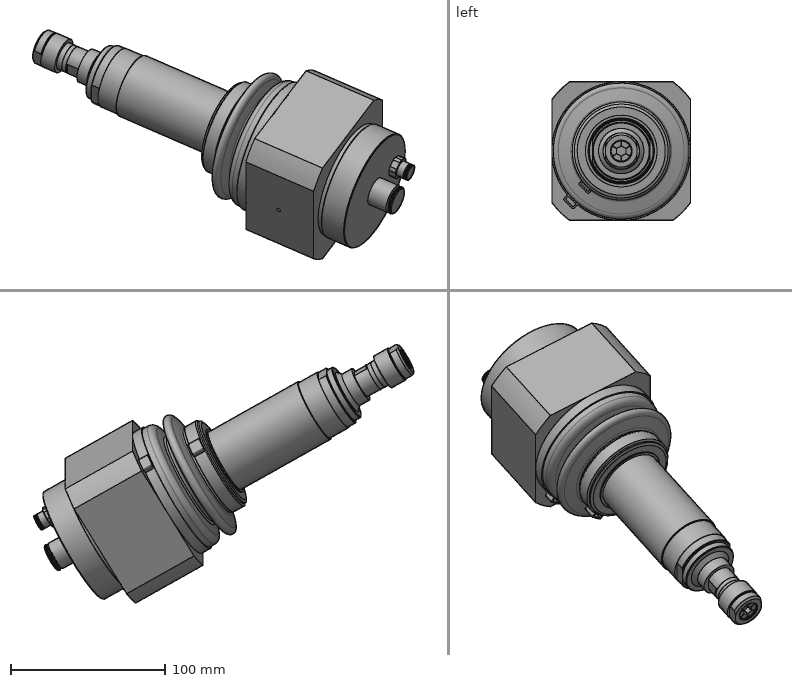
import cadquery as cq
import math

LENGTH = 267.3
CUT_MARGIN = 0.3

TIP_CHAMFER = 1.3
TIP_GROOVE_START = 6.1
TIP_GROOVE_R = 11.2
TIP_FLAT_END = 7.0
TIP_END = 17.5
TIP_R = 11.8
NUT_R = 23.8 / 2
TIP_FLAT_DISTANCE = 10.2
FACE_RECESS_D = 13.0
FACE_RECESS_CHAMFER = 0.5
FACE_RECESS_DEPTH = 1.0
HEX_BORE_FLATS = 6.0
HEX_BORE_DEPTH = 10.7
COLLET_SLIT = 0.3
COLLET_SLIT_DEPTH = 5.3
COLLET_SLITS = 6

NECK_R = 9.4
NECK_STEP_R = 18.5 / 2
NECK_BAND_START = 21.0
NECK_BAND_END = 24.0
NECK_FLAT_START = 24.9
NECK_END = 34.0
NECK_FLAT_DISTANCE = 8.3

COLLAR_R = 11.8
COLLAR_END = 41.5
CONE_END = 44.5
CONE_R = 14.7
CAP_R = 18.7
CAP_END = 48.7
RING_FLAT_R = 41.0 / 2
RING_R = 41.5 / 2
RING_FLAT_END = 54.8
RING_FLAT_DISTANCE = 18.7
RING_END = 68.7
NOSE_CHAMFER = 0.5

SLEEVE_R = 43.0 / 2
SLEEVE_CHAMFER = 0.3
SLEEVE_END = 137.1

BOOT_LIP_START = 136.3
BOOT_LIP_R = 23.3
CLAMP_FACE_INNER_R = 28.5
CLAMP_FACE_R = 30.5
CLAMP_FACE_START = 138.0
CLAMP_FACE_END = 139.0
CLAMP_R = 31.8
CLAMP_START = 139.8
CLAMP_END = 148.0

VALLEY_R = 31.0
VALLEY_END = 149.7
CREST_X = 155.3
CREST_R = 44.0
CREST_HALF_WIDTH = 3.0
CREST_FLANK_R = 41.0
ROOT_HALF_WIDTH = 4.8
ROOT_R = 32.5
REAR_VALLEY_X = 162.3
SHOULDER_ROOT_X = 163.3
SHOULDER_START = 164.5
SHOULDER_START_R = 39.5
SHOULDER_MID = 165.7
SHOULDER_MID_R = 42.8
SHOULDER_END = 168.7

BAND_START = 172.7
BODY_START = 179.5
BODY_END = 230.2
BODY_WIDTH = 90.0
BODY_CORNER_R = 56.1
BAND_R = BODY_WIDTH / 2
VENT_D = 2.5
VENT_X = 204.0
VENT_DEPTH = 5.3

EAR_ANGLE = -45.0
EAR_WIDTH = 9.0
FRONT_EAR_HEIGHT = 3.0
REAR_EAR_HEIGHT = 3.7
EAR_WALL = 1.0
EAR_FILLET = 0.8

COVER_STEP_R = 39.3
COVER_STEP_END = 233.0
COVER_R = 40.0
COVER_END = 250.2
COVER_CHAMFER = 0.5

PIPE_R = 19.0 / 2
PIPE_END = 263.8
PIPE_NECK_R = 6.5
PIPE_RIM_START = 265.0
RIM_CHAMFER = 0.8
RIM_SERRATIONS = 36
SERRATION_R = 0.4

CONNECTOR_Y = 25.0
CONNECTOR_HEX_FLATS = 13.5
CONNECTOR_HEX_TRIM_D = 14.5
CONNECTOR_HEX_END = 255.0
CONNECTOR_R = 5.3
CONNECTOR_END = 262.5
CONNECTOR_GROOVE_R = 4.8
CONNECTOR_GROOVE_WIDTH = 0.5
CONNECTOR_RIM = 1.0
CONNECTOR_SERRATIONS = 24


def yz_plane(x, y=0.0):
    """Workplane facing +X; its local axes are Y and Z."""
    return cq.Workplane("YZ", origin=(x, y, 0))


def cylinder(start, end, radius, y=0.0):
    return yz_plane(start, y).circle(radius).extrude(end - start)


def hexagon(start, end, across_flats, y=0.0):
    """Hexagonal bar along X with corners at +Z and -Z."""
    across_corners = across_flats / math.cos(math.pi / 6)
    bar = cq.Workplane("YZ").polygon(6, across_corners).extrude(end - start)
    return bar.rotate((0, 0, 0), (1, 0, 0), 30).translate((start, y, 0))


def front_profile():
    """Turned tip, neck, nose and sleeve."""
    outline = (
        cq.Workplane("XY")
        .lineTo(0, TIP_R - TIP_CHAMFER)
        .lineTo(TIP_CHAMFER, TIP_R)
        .lineTo(TIP_GROOVE_START, TIP_R)
        .lineTo(TIP_GROOVE_START, TIP_GROOVE_R)
        .lineTo(TIP_FLAT_END, TIP_GROOVE_R)
        .lineTo(TIP_FLAT_END, NUT_R)
        .lineTo(TIP_END, NUT_R)
        .lineTo(TIP_END, NECK_R)
        .lineTo(NECK_BAND_START, NECK_R)
        .lineTo(NECK_BAND_START, NECK_STEP_R)
        .lineTo(NECK_BAND_END, NECK_STEP_R)
        .lineTo(NECK_BAND_END, NECK_R)
        .lineTo(NECK_END, NECK_R)
        .lineTo(NECK_END, COLLAR_R)
        .lineTo(COLLAR_END, COLLAR_R)
        .lineTo(CONE_END, CONE_R)
        .lineTo(CONE_END, CAP_R - NOSE_CHAMFER)
        .lineTo(CONE_END + NOSE_CHAMFER, CAP_R)
        .lineTo(CAP_END, CAP_R)
        .lineTo(CAP_END, RING_FLAT_R - NOSE_CHAMFER)
        .lineTo(CAP_END + NOSE_CHAMFER, RING_FLAT_R)
        .lineTo(RING_FLAT_END, RING_FLAT_R)
        .lineTo(RING_FLAT_END, RING_R)
        .lineTo(RING_END, RING_R)
        .lineTo(RING_END, SLEEVE_R - SLEEVE_CHAMFER)
        .lineTo(RING_END + SLEEVE_CHAMFER, SLEEVE_R)
        .lineTo(SLEEVE_END, SLEEVE_R)
        .lineTo(SLEEVE_END, 0)
        .close()
    )
    return outline.revolve(360, (0, 0, 0), (1, 0, 0))


def bellows():
    """Turned boot with one full crest, a rear shoulder and a clamp land at each end."""
    outline = (
        cq.Workplane("XY")
        .moveTo(BOOT_LIP_START, 0)
        .lineTo(BOOT_LIP_START, BOOT_LIP_R)
        .lineTo(SLEEVE_END, BOOT_LIP_R)
        .lineTo(SLEEVE_END, CLAMP_FACE_INNER_R)
        .lineTo(CLAMP_FACE_START, CLAMP_FACE_R)
        .lineTo(CLAMP_FACE_END, CLAMP_FACE_R)
        .lineTo(CLAMP_START, CLAMP_R)
        .lineTo(CLAMP_END, CLAMP_R)
        .lineTo(CLAMP_END, VALLEY_R)
        .lineTo(VALLEY_END, VALLEY_R)
        .lineTo(CREST_X - ROOT_HALF_WIDTH, ROOT_R)
        .lineTo(CREST_X - CREST_HALF_WIDTH, CREST_FLANK_R)
        .threePointArc((CREST_X, CREST_R), (CREST_X + CREST_HALF_WIDTH, CREST_FLANK_R))
        .lineTo(CREST_X + ROOT_HALF_WIDTH, ROOT_R)
        .tangentArcPoint((REAR_VALLEY_X, VALLEY_R), relative=False)
        .lineTo(SHOULDER_ROOT_X, ROOT_R)
        .lineTo(SHOULDER_START, SHOULDER_START_R)
        .threePointArc((SHOULDER_MID, SHOULDER_MID_R), (SHOULDER_END, CREST_R))
        .lineTo(BAND_START, CREST_R)
        .lineTo(BAND_START, BAND_R)
        .lineTo(BODY_START, BAND_R)
        .lineTo(BODY_START, 0)
        .close()
    )
    return outline.revolve(360, (0, 0, 0), (1, 0, 0))


def clamp_ear(start, end, radius, height):
    """Rounded open loop standing on a clamp band, turned towards +Y and -Z."""
    block = yz_plane(start).center(radius, 0).rect(2 * height, EAR_WIDTH).extrude(end - start)
    block = block.edges("|X and >Y").fillet(EAR_FILLET)
    window_height = height - EAR_WALL
    window = (
        yz_plane(start)
        .center(radius + window_height / 2, 0)
        .rect(window_height, EAR_WIDTH - 2 * EAR_WALL)
        .extrude(end - start)
    )
    return block.cut(window).rotate((0, 0, 0), (1, 0, 0), EAR_ANGLE)


def body():
    """Square block with corners rounded to a large turned diameter."""
    block = yz_plane(BODY_START).rect(BODY_WIDTH, BODY_WIDTH).extrude(BODY_END - BODY_START)
    block = block.intersect(cylinder(BODY_START, BODY_END, BODY_CORNER_R))
    vent = (
        cq.Workplane("XZ", origin=(VENT_X, -BODY_WIDTH / 2, 0))
        .circle(VENT_D / 2)
        .extrude(-VENT_DEPTH)
    )
    return block.cut(vent)


def end_cover():
    step = cylinder(BODY_END, COVER_STEP_END, COVER_STEP_R)
    cover = cylinder(COVER_STEP_END, COVER_END, COVER_R).faces(">X").chamfer(COVER_CHAMFER)
    return step.union(cover)


def serrated_rim(start, end, radius, count, y=0.0, chamfer=0.0):
    """Disc with small grooves along X spaced evenly round its edge."""
    rim = cylinder(start, end, radius)
    if chamfer:
        rim = rim.edges().chamfer(chamfer)
    grooves = yz_plane(start).polarArray(radius, 0, 360, count).circle(SERRATION_R).extrude(end - start)
    return rim.cut(grooves).translate((0, y, 0))


def supply_pipe():
    pipe = cylinder(COVER_END, PIPE_END, PIPE_R)
    neck = cylinder(PIPE_END, PIPE_RIM_START, PIPE_NECK_R)
    rim = serrated_rim(PIPE_RIM_START, LENGTH, PIPE_R, RIM_SERRATIONS, chamfer=RIM_CHAMFER)
    return pipe.union(neck).union(rim)


def connector():
    nut = hexagon(COVER_END, CONNECTOR_HEX_END, CONNECTOR_HEX_FLATS, CONNECTOR_Y)
    trim = cylinder(COVER_END, CONNECTOR_HEX_END, CONNECTOR_HEX_TRIM_D / 2, CONNECTOR_Y)
    last_rim = CONNECTOR_END - CONNECTOR_RIM
    groove = last_rim - CONNECTOR_GROOVE_WIDTH
    first_rim = groove - CONNECTOR_RIM
    plug = nut.intersect(trim)
    plug = plug.union(cylinder(CONNECTOR_HEX_END, first_rim, CONNECTOR_R, CONNECTOR_Y))
    plug = plug.union(cylinder(groove, last_rim, CONNECTOR_GROOVE_R, CONNECTOR_Y))
    for start in (first_rim, last_rim):
        end = start + CONNECTOR_RIM
        plug = plug.union(serrated_rim(start, end, CONNECTOR_R, CONNECTOR_SERRATIONS, CONNECTOR_Y))
    return plug


def flat_pair(start, end, radius, distance):
    """Material outside two wrench flats that face -Y and +Y."""
    ring = cylinder(start, end, radius + CUT_MARGIN)
    keep = yz_plane(start).rect(2 * distance, 3 * radius).extrude(end - start)
    return ring.cut(keep)


def collet_face():
    """Cutter for the chamfered round recess, hexagonal bore and radial slits in the tip face."""
    recess_r = FACE_RECESS_D / 2
    recess = (
        cq.Workplane("XY")
        .lineTo(0, recess_r + FACE_RECESS_CHAMFER)
        .lineTo(FACE_RECESS_CHAMFER, recess_r)
        .lineTo(FACE_RECESS_DEPTH, recess_r)
        .lineTo(FACE_RECESS_DEPTH, 0)
        .close()
        .revolve(360, (0, 0, 0), (1, 0, 0))
    )
    cutter = recess.union(hexagon(0, HEX_BORE_DEPTH, HEX_BORE_FLATS))
    for i in range(COLLET_SLITS // 2):
        slit = yz_plane(0).rect(COLLET_SLIT, FACE_RECESS_D).extrude(COLLET_SLIT_DEPTH)
        cutter = cutter.union(slit.rotate((0, 0, 0), (1, 0, 0), i * 360 / COLLET_SLITS))
    return cutter


result = front_profile().union(bellows()).union(body()).union(end_cover())
result = result.union(supply_pipe()).union(connector())
result = result.union(clamp_ear(CLAMP_START, CLAMP_END, CLAMP_R, FRONT_EAR_HEIGHT))
result = result.union(clamp_ear(BAND_START, BODY_START, BAND_R, REAR_EAR_HEIGHT))
result = result.cut(flat_pair(0, TIP_FLAT_END, TIP_R, TIP_FLAT_DISTANCE))
result = result.cut(flat_pair(NECK_FLAT_START, NECK_END, NECK_R, NECK_FLAT_DISTANCE))
result = result.cut(flat_pair(CAP_END, RING_FLAT_END, RING_FLAT_R, RING_FLAT_DISTANCE))
result = result.cut(collet_face())